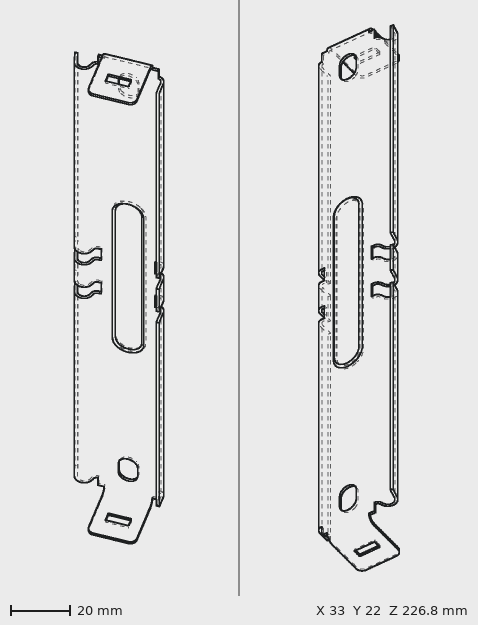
import cadquery as cq
import math

sheet = 1.0
total_height = 226.8

web_flat_half = 10.7
bend_inner = 1.4
left_bend_angle = math.radians(70)
flange_depth = 7.3
curl_outer = 3.5
curl_depth = 4.8
lip_lean = math.radians(14)
lip_rise = 2.0
section_height = 212.7
edge_corner = 0.7

notch_inner_half = 9.5
notch_height = 5.7
notch_offset = 8.6

tab_width = 17.0
tab_reach = 20.0
tab_bend_outer = 3.2
tab_corner = 2.3
tab_slot_length = 8.2
tab_slot_width = 3.2
tab_slot_depth = 11.5

mount_slot_length = 11.0
mount_slot_width = 6.8
mount_slot_offset = 98.7
bead_length = 76.2
bead_width = 11.0
bead_rise = 0.7
bead_slope_run = 1.0

half_height = total_height / 2
bend_outer = bend_inner + sheet
curl_inner = curl_outer - sheet
web_half_height = half_height - tab_bend_outer
flange_x = web_flat_half + bend_outer
envelope = 2 * flange_x
right_bend = (web_flat_half, -bend_outer)
left_bend = (-web_flat_half, -bend_outer)

curl_y = curl_outer - curl_depth
centre_gap = bend_inner + curl_outer
bend_end = math.pi / 2 + left_bend_angle
join = bend_end - math.pi
joint_drop = left_bend[1] - curl_y + centre_gap * math.cos(left_bend_angle)
joint_run = joint_drop / math.tan(left_bend_angle)
curl = (left_bend[0] - centre_gap * math.sin(left_bend_angle) - joint_run, curl_y)
lip_start = lip_lean - math.pi
lip_length = (lip_rise - curl_y + curl_inner * math.sin(lip_lean)) / math.cos(lip_lean)


def polar(centre, radius, angle):
    """Point at a radius and angle (radians) around a centre."""
    return (centre[0] + radius * math.cos(angle), centre[1] + radius * math.sin(angle))


def lip_tip(radius):
    """Tip of the straight lip that leaves the curl at the given radius."""
    return polar(polar(curl, radius, lip_start), lip_length, math.pi / 2 + lip_lean)


def rolled_section():
    """Cross-section in XY: curled edge with lip, flat web, straight flange."""
    bend_middle = (math.pi / 2 + bend_end) / 2
    curl_middle = (join + lip_start) / 2
    diagonal = math.pi / 4

    return (
        cq.Workplane("XY")
        .moveTo(flange_x, -flange_depth)
        .lineTo(flange_x, -bend_outer)
        .threePointArc(polar(right_bend, bend_outer, diagonal), (web_flat_half, 0))
        .lineTo(-web_flat_half, 0)
        .threePointArc(polar(left_bend, bend_outer, bend_middle), polar(left_bend, bend_outer, bend_end))
        .lineTo(*polar(curl, curl_inner, join))
        .threePointArc(polar(curl, curl_inner, curl_middle), polar(curl, curl_inner, lip_start))
        .lineTo(*lip_tip(curl_inner))
        .lineTo(*lip_tip(curl_outer))
        .lineTo(*polar(curl, curl_outer, lip_start))
        .threePointArc(polar(curl, curl_outer, curl_middle), polar(curl, curl_outer, join))
        .lineTo(*polar(left_bend, bend_inner, bend_end))
        .threePointArc(polar(left_bend, bend_inner, bend_middle), (-web_flat_half, -sheet))
        .lineTo(web_flat_half, -sheet)
        .threePointArc(polar(right_bend, bend_inner, diagonal), (flange_x - sheet, -bend_outer))
        .lineTo(flange_x - sheet, -flange_depth)
        .close()
    )


def rolled_body():
    """Rolled section along Z, narrowed to shoulders beyond the rounded ends of the rolled edges."""
    body = rolled_section().extrude(web_half_height, both=True)
    trim_width = envelope - web_flat_half
    trim_x = web_flat_half + trim_width / 2
    trim_height = half_height - section_height / 2
    trim_z = half_height - trim_height / 2
    for end in (1, -1):
        trims = (
            cq.Workplane("XZ")
            .pushPoints([(trim_x, end * trim_z), (-trim_x, end * trim_z)])
            .rect(trim_width, trim_height)
            .extrude(envelope, both=True)
        )
        body = body.cut(trims)
        body = body.cut(corner_cutter(1, -flange_depth, 1, end))
        body = body.cut(corner_cutter(-1, lip_rise, -1, end))
    return body


def corner_cutter(side, tip_y, inward, end):
    """Tool that rounds one free corner of the rolled edges, seen along X.

    side is the sign of X, inward the Y direction into the sheet, end the sign of Z.
    """
    end_z = end * section_height / 2
    centre_y = tip_y + inward * edge_corner
    centre_z = end_z - end * edge_corner
    mid_offset = edge_corner * math.sqrt(0.5)
    return (
        cq.Workplane("YZ")
        .moveTo(tip_y, end_z)
        .lineTo(centre_y, end_z)
        .threePointArc((centre_y - inward * mid_offset, centre_z + end * mid_offset), (tip_y, centre_z))
        .close()
        .extrude(side * envelope)
    )


def end_tab():
    """Upper tab: quarter bend from the web, then a flat plate with a slot."""
    tab_bend_inner = tab_bend_outer - sheet
    bend_centre = (-tab_bend_outer, web_half_height)
    diagonal = math.pi / 4
    tab = (
        cq.Workplane("YZ")
        .moveTo(0, web_half_height)
        .threePointArc(polar(bend_centre, tab_bend_outer, diagonal), (-tab_bend_outer, half_height))
        .lineTo(-tab_reach, half_height)
        .lineTo(-tab_reach, half_height - sheet)
        .lineTo(-tab_bend_outer, half_height - sheet)
        .threePointArc(polar(bend_centre, tab_bend_inner, diagonal), (-sheet, web_half_height))
        .close()
        .extrude(tab_width / 2, both=True)
    )
    tab = tab.faces("<Y").edges("|Z").fillet(tab_corner)
    slot = cq.Workplane("XY").box(tab_slot_length, tab_slot_width, 2 * sheet)
    return tab.cut(slot.translate((0, -tab_slot_depth, half_height - sheet / 2)))


def side_notches():
    """Two pairs of notches that cut across the rolled edges near the middle."""
    width = envelope - notch_inner_half
    centre_x = notch_inner_half + width / 2
    places = [(x, z) for x in (centre_x, -centre_x) for z in (notch_offset, -notch_offset)]
    return cq.Workplane("XZ").pushPoints(places).rect(width, notch_height).extrude(envelope, both=True)


def mount_slots():
    """Upright round-ended slots near both ends of the web."""
    places = [(0, mount_slot_offset), (0, -mount_slot_offset)]
    return (
        cq.Workplane("XZ")
        .pushPoints(places)
        .slot2D(mount_slot_length, mount_slot_width, 90)
        .extrude(envelope, both=True)
    )


def bead_solid(base_y, growth):
    """Tapered round-ended pad rising toward +Y; growth widens it on every side."""
    base_length = bead_length + 2 * growth
    base_width = bead_width + 2 * growth
    return (
        cq.Workplane("XZ", origin=(0, base_y, 0))
        .slot2D(base_length, base_width, 90)
        .workplane(offset=-bead_rise)
        .slot2D(base_length - 2 * bead_slope_run, base_width - 2 * bead_slope_run, 90)
        .loft(ruled=True, combine=True)
    )


upper_tab = end_tab()
part = rolled_body().union(upper_tab).union(upper_tab.mirror("XY"))
part = part.cut(side_notches()).cut(mount_slots())

bead_angle = math.atan2(bead_rise, bead_slope_run)
bead_growth = sheet * math.tan(bead_angle / 2)
result = part.union(bead_solid(0, bead_growth)).cut(bead_solid(-sheet, 0))